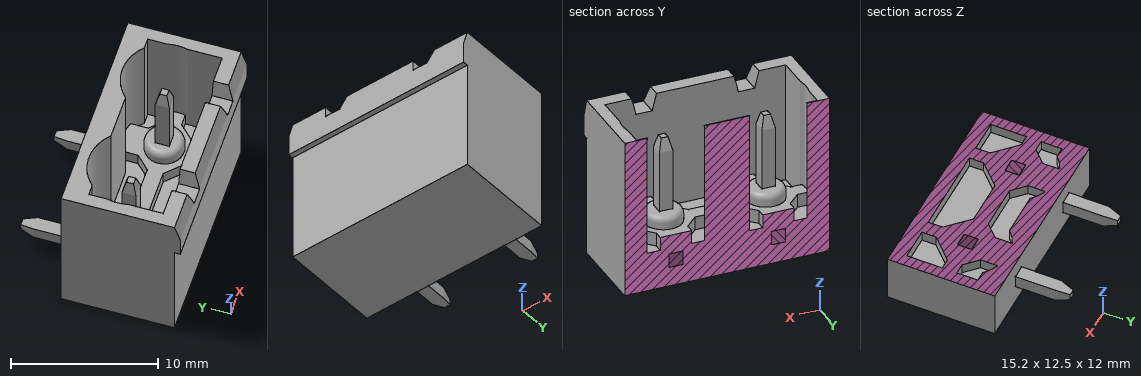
import cadquery as cq


WIDTH = 15.24
HEIGHT = 12.0
BACK_Y = 3.81
BODY_DEPTH = 8.1
FRONT_Y = BACK_Y - BODY_DEPTH
POLE_PITCH = WIDTH / 2
POLE_XS = (-POLE_PITCH / 2, POLE_PITCH / 2)

LIP_DEPTH = 0.41
LIP_HEIGHT = 3.0
LIP_SLOPE_HEIGHT = 1.3
LIP_FRONT_Y = FRONT_Y - LIP_DEPTH

SIDE_WALL = 0.9
FRONT_WALL = 1.08
BACK_WALL = 1.7
POLE_BAY_RADIUS = 3.0
FLOOR_Z = 4.0
CAVITY_FRONT_Y = FRONT_Y + FRONT_WALL
CAVITY_BACK_Y = BACK_Y - BACK_WALL
CAVITY_WIDTH = WIDTH - 2 * SIDE_WALL

POCKET_DEPTH = 1.0
CROSS_RIB_HALF_WIDTH = 0.56
BACK_RIB_HALF_WIDTH = 1.17
FRONT_RIB_HALF_WIDTH = 0.53
GUSSET_HALF_WIDTH = 2.12

BOSS_DIAMETER = 2.8
BOSS_ROUNDING = 0.5
BOSS_HEIGHT = 2 * BOSS_ROUNDING

SLOT_TOP_WIDTH = 1.85
SLOT_FLOOR_WIDTH = 1.2
SLOT_FLOOR_Z = HEIGHT - LIP_SLOPE_HEIGHT

PIN_SIZE = 1.0
PIN_TIP_SIZE = 0.5
PIN_TAPER = 1.0
PIN_TOP_Z = HEIGHT - 1.42
TAIL_Z = 2.0
TAIL_LENGTH = 4.0
TAIL_END_Y = BACK_Y + TAIL_LENGTH


def block(x_range, y_range, z_range):
    """Box spanning the given (low, high) ranges."""
    size = [high - low for low, high in (x_range, y_range, z_range)]
    return cq.Workplane("XY").box(*size, centered=False).translate((x_range[0], y_range[0], z_range[0]))


def make_shell():
    """Solid housing block with the sloped lip, as one side profile extruded across the width."""
    profile = [
        (BACK_Y, 0),
        (BACK_Y, HEIGHT),
        (FRONT_Y, HEIGHT),
        (LIP_FRONT_Y, HEIGHT - LIP_SLOPE_HEIGHT),
        (LIP_FRONT_Y, HEIGHT - LIP_HEIGHT),
        (FRONT_Y, HEIGHT - LIP_HEIGHT),
        (FRONT_Y, 0),
    ]
    return cq.Workplane("YZ").polyline(profile).close().extrude(WIDTH / 2, both=True)


def make_cavity(bottom_z, top_z):
    """Volume with the cavity outline: a rectangle with one round bay per pole cut into the back wall."""
    half_width = CAVITY_WIDTH / 2
    cavity = block((-half_width, half_width), (CAVITY_FRONT_Y, CAVITY_BACK_Y), (bottom_z, top_z))
    for x in POLE_XS:
        bay = cq.Workplane("XY", origin=(x, 0, bottom_z)).circle(POLE_BAY_RADIUS).extrude(top_z - bottom_z)
        cavity = cavity.union(bay)
    return cavity


def make_pole_ribs(x, bottom_z, top_z):
    """Front and back ribs of one pole, widened by 45 degree gussets where they meet the cross rib."""
    back_gusset_y = CROSS_RIB_HALF_WIDTH + GUSSET_HALF_WIDTH - BACK_RIB_HALF_WIDTH
    front_gusset_y = -(CROSS_RIB_HALF_WIDTH + GUSSET_HALF_WIDTH - FRONT_RIB_HALF_WIDTH)
    right_side = [
        (FRONT_RIB_HALF_WIDTH, FRONT_Y),
        (FRONT_RIB_HALF_WIDTH, front_gusset_y),
        (GUSSET_HALF_WIDTH, -CROSS_RIB_HALF_WIDTH),
        (GUSSET_HALF_WIDTH, CROSS_RIB_HALF_WIDTH),
        (BACK_RIB_HALF_WIDTH, back_gusset_y),
        (BACK_RIB_HALF_WIDTH, BACK_Y),
    ]
    left_side = [(-px, py) for px, py in reversed(right_side)]
    outline = cq.Workplane("XY", origin=(x, 0, bottom_z)).polyline(right_side + left_side).close()
    return outline.extrude(top_z - bottom_z)


def make_floor_pockets():
    """Pockets sunk below the cavity floor everywhere except under the ribs."""
    bottom_z = FLOOR_Z - POCKET_DEPTH
    cross_rib_range = (-CROSS_RIB_HALF_WIDTH, CROSS_RIB_HALF_WIDTH)
    cross_rib = block((-WIDTH / 2, WIDTH / 2), cross_rib_range, (bottom_z, FLOOR_Z))
    pockets = make_cavity(bottom_z, FLOOR_Z).cut(cross_rib)
    for x in POLE_XS:
        pockets = pockets.cut(make_pole_ribs(x, bottom_z, FLOOR_Z))
    return pockets


def make_boss(x):
    """Round boss on the cavity floor with a rounded top edge."""
    boss = cq.Workplane("XY", origin=(x, 0, FLOOR_Z)).circle(BOSS_DIAMETER / 2).extrude(BOSS_HEIGHT)
    return boss.faces(">Z").edges().fillet(BOSS_ROUNDING)


def make_slot(x):
    """Trapezoidal notch running through the front wall and the lip."""
    profile = [
        (x - SLOT_FLOOR_WIDTH / 2, SLOT_FLOOR_Z),
        (x + SLOT_FLOOR_WIDTH / 2, SLOT_FLOOR_Z),
        (x + SLOT_TOP_WIDTH / 2, HEIGHT),
        (x - SLOT_TOP_WIDTH / 2, HEIGHT),
    ]
    start = cq.Workplane("XZ", origin=(0, CAVITY_FRONT_Y, 0))
    return start.polyline(profile).close().extrude(CAVITY_FRONT_Y - LIP_FRONT_Y)


def make_taper(base):
    """Pyramidal pin end rising from a base workplane."""
    return base.rect(PIN_SIZE, PIN_SIZE).workplane(offset=PIN_TAPER).rect(PIN_TIP_SIZE, PIN_TIP_SIZE).loft()


def make_pin(x):
    """L-shaped square pin: an upright contact and a tail leaving through the back, both with tapered ends."""
    half = PIN_SIZE / 2
    side_range = (x - half, x + half)
    upright_end_z = PIN_TOP_Z - PIN_TAPER
    tail_end_y = TAIL_END_Y - PIN_TAPER
    upright = block(side_range, (-half, half), (TAIL_Z - half, upright_end_z))
    tail = block(side_range, (-half, tail_end_y), (TAIL_Z - half, TAIL_Z + half))
    upright_taper = make_taper(cq.Workplane("XY", origin=(x, 0, upright_end_z)))
    tail_plane = cq.Plane(origin=(x, tail_end_y, TAIL_Z), xDir=(1, 0, 0), normal=(0, 1, 0))
    tail_taper = make_taper(cq.Workplane(tail_plane))
    return upright.union(tail).union(upright_taper).union(tail_taper)


def make_housing(pins):
    """Housing with its cavity, floor pockets, bosses and slots, and a matching passage for each pin."""
    housing = make_shell().cut(make_cavity(FLOOR_Z, HEIGHT)).cut(make_floor_pockets())
    for x in POLE_XS:
        housing = housing.union(make_boss(x)).cut(make_slot(x))
    for pin in pins:
        housing = housing.cut(pin)
    return housing


contact_pins = [make_pin(x) for x in POLE_XS]
housing = make_housing(contact_pins)

result = cq.Compound.makeCompound([housing.val(), *[pin.val() for pin in contact_pins]])